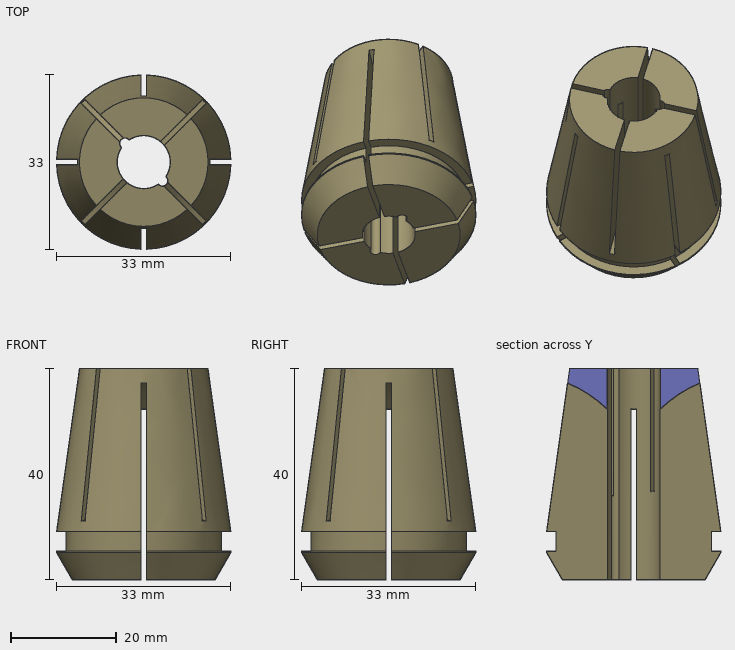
import cadquery as cq
import math

total_length = 40.0
body_radius = 16.5
taper_half_angle = 8.0
taper_start = 9.1
groove_radius = 14.75
flange_top = 5.45
rim_height = 0.28
nose_half_angle = 30.0

rim_bottom = flange_top - rim_height
nose_radius = body_radius - rim_bottom * math.tan(math.radians(nose_half_angle))
taper_length = total_length - taper_start
top_radius = body_radius - taper_length * math.tan(math.radians(taper_half_angle))

bore_radius = 5.0
relief_radius = 1.0
relief_angles = (135, 315)

slot_width = 1.0
lower_saw_radius = 24.0
lower_saw_offset = 21.7
upper_saw_radius = 21.0
upper_saw_offset = 19.7
lower_slot_end = 32.25
upper_slot_end = 16.8
lower_slot_angles = (0, 90, 180, 270)
upper_slot_angles = (45, 135, 225, 315)
clearance = 1.0


def make_body():
    """Revolved outline: nose cone, flange rim, groove and clamping taper."""
    return (
        cq.Workplane("XZ")
        .moveTo(0, 0)
        .lineTo(nose_radius, 0)
        .lineTo(body_radius, rim_bottom)
        .lineTo(body_radius, flange_top)
        .lineTo(groove_radius, flange_top)
        .lineTo(groove_radius, taper_start)
        .lineTo(body_radius, taper_start)
        .lineTo(top_radius, total_length)
        .lineTo(0, total_length)
        .close()
        .revolve(360, (0, 0, 0), (0, 1, 0))
    )


def make_bore():
    """Through bore joined with its relief grooves."""
    bore = cq.Workplane("XY").circle(bore_radius).extrude(total_length)
    reliefs = (
        cq.Workplane("XY")
        .pushPoints([
            (bore_radius * math.cos(math.radians(angle)), bore_radius * math.sin(math.radians(angle)))
            for angle in relief_angles
        ])
        .circle(relief_radius)
        .extrude(total_length)
    )
    return bore.union(reliefs)


def make_slot(open_height, bore_end_height, direction, saw_radius, saw_offset):
    """Slot along +X from open_height; direction is +1 when it is sawn upward, -1 when downward."""
    outer_radius = body_radius + clearance
    middle_radius = (bore_radius + outer_radius) / 2

    def saw_rise(radius):
        return math.sqrt(saw_radius**2 - (saw_offset - radius) ** 2)

    saw_center_height = bore_end_height - direction * saw_rise(bore_radius)

    def arc_point(radius):
        return (radius, saw_center_height + direction * saw_rise(radius))

    return (
        cq.Workplane("XZ")
        .moveTo(0, open_height)
        .lineTo(outer_radius, open_height)
        .lineTo(*arc_point(outer_radius))
        .threePointArc(arc_point(middle_radius), arc_point(bore_radius))
        .lineTo(0, bore_end_height)
        .close()
        .extrude(slot_width / 2, both=True)
    )


def cut_around_axis(part, cutter, angles):
    """Cut a copy of the cutter at each angle about Z."""
    for angle in angles:
        part = part.cut(cutter.rotate((0, 0, 0), (0, 0, 1), angle))
    return part


lower_slot = make_slot(-clearance, lower_slot_end, 1, lower_saw_radius, lower_saw_offset)
upper_slot = make_slot(total_length + clearance, upper_slot_end, -1, upper_saw_radius, upper_saw_offset)

result = make_body().cut(make_bore())
result = cut_around_axis(result, lower_slot, lower_slot_angles)
result = cut_around_axis(result, upper_slot, upper_slot_angles)